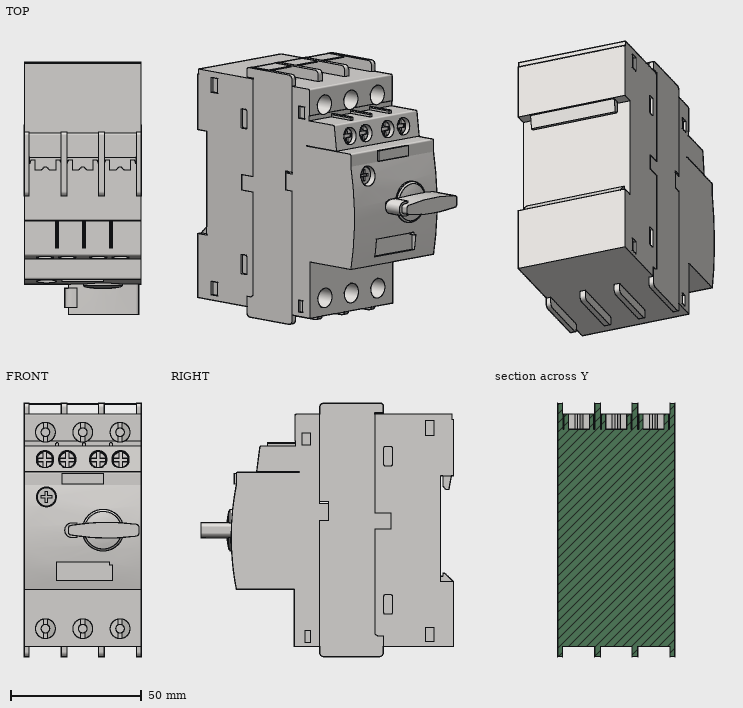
import cadquery as cq
import math


TOTAL_WIDTH = 45.0
TOTAL_DEPTH = 96.9
TOTAL_HEIGHT = 97.4

PLATE_PROUD = 0.1
BODY_WIDTH = TOTAL_WIDTH - 2 * PLATE_PROUD
BODY_BOTTOM = 3.9
BODY_TOP = 93.2
REAR_STEP_DEPTH = 0.5
REAR_STEP_HEIGHT = 2.0
UPPER_FRONT = -60.9
LOWER_FRONT = -61.2
TIER_TOP = 80.9
TIER_FRONT = -74.3
TIER_FOOT = -75.6
COVER_TOP = 70.9
COVER_BOTTOM = 25.9
COVER_FRONT = -83.4
COVER_CROWN = -85.3
COVER_FLAT_BOTTOM = 65.9
EDGE_RADIUS = 0.7
PARTING_REAR = -59.2
PARTING_HEIGHT = 0.15
WALL_STEP_TOP = 82.9
WALL_STEP_DEPTH = 0.2

RAIL_DEPTH = 5.0
RAIL_TOP = 69.4
RAIL_BOTTOM = 28.9
HOOK_FRONT = -4.1
UPPER_HOOK_REAR = -0.8
UPPER_HOOK_TIP_REAR = -1.8
UPPER_HOOK_TIP_FRONT = -2.9
UPPER_HOOK_TIP = 64.2
UPPER_HOOK_CHAMFER_TOP = 65.5
LOWER_HOOK_TIP_REAR = -3.4
LOWER_HOOK_TIP = 32.1
LOWER_HOOK_STEP = 31.0
UPPER_HOOK_INSET = 4.9
LOWER_HOOK_INSET = 1.9

POLE_PITCH = 14.3
BARRIER_REAR = -26.9
BARRIER_NECK = -30.2
BARRIER_FRONT = -51.4
LIP_BOTTOM = 93.6
TAB_REAR = -24.1
TAB_TOP = 55.1
TAB_BOTTOM = 49.1
FOOT_TOP = 8.0
FOOT_CHAMFER_TOP = 8.8
FOOT_CHAMFER_REAR = -28.9
NOTCH_BOTTOM = 52.3
REAR_TOP_RADIUS = 1.2
BARRIER_RADIUS = 1.8
SIDE_FIN = 1.9
MIDDLE_FIN = 2.2
BRIDGE_FRONT = -36.5
BRIDGE_THICKNESS = 0.4
BRIDGE_SINK = 0.1
SLIT_REAR = -48.0
SLIT_BOTTOM = 58.9
SLIT_TOP = 59.6

TERMINAL_HEIGHTS = (10.8, 86.2)
TERMINAL_RADIUS = 3.8
TERMINAL_DEPTH = 7.8
TERMINAL_HEAD = 1.5
TERMINAL_RIDGE = 1.7
TERMINAL_PIN_RADIUS = 1.7
TERMINAL_PIN_RISE = 0.3

ENTRY_DEPTH = 5.8
ENTRY_WIDTH = 8.0
ENTRY_FRONT = -41.4
ENTRY_SHOULDER = -37.5
ENTRY_CORNER = -39.0
ENTRY_SHOULDER_WIDTH = 11.0
ENTRY_LIP = 1.0
ENTRY_UNDERCUT = 0.5
NOSE_TIP = -40.2
NOSE_TIP_WIDTH = 1.0
NOSE_BASE_WIDTH = 3.1

AUX_SCREW_X = (-14.5, -5.9, 5.9, 14.5)
AUX_SCREW_Z = 75.9
AUX_RADIUS = 3.3
AUX_CROSS = (5.5, 6.2, 1.4)
RIB_CENTRE = 0.5
RIB_PITCH = 10.3
RIB_WIDTH = 1.2
RIB_HEIGHT = 1.3
RIB_CHAMFER = 0.4
RIB_FRONT = -71.4
SCREW_SINK = 1.9
CROSS_DEPTH = 0.8
HEAD_GAP = 0.3

DIAL_X = -13.9
DIAL_Y = -84.0
DIAL_Z = 61.4
DIAL_RADIUS = 3.8
DIAL_CROSS = (4.1, 4.3, 1.0)
NAME_WIDTH = 15.9
NAME_BOTTOM = 66.3
NAME_TOP = 70.4
NAME_RISE = 0.8
WINDOW_LEFT = -10.0
WINDOW_RIGHT = 11.4
WINDOW_BOTTOM = 29.3
WINDOW_TOP = 36.3
WINDOW_NOTCH = 1.1
WINDOW_FLOOR = -82.8

KNOB_X = 7.8
KNOB_Z = 48.6
KNOB_RADIUS = 8.0
KNOB_RIM_RADIUS = 7.2
KNOB_RIM_Y = -86.3
KNOB_CHAMFER_Y = -85.7
KNOB_CROWN_Y = -87.1
HANDLE_LEFT = -5.6
HANDLE_RIGHT = 21.5
HANDLE_HALF = 3.0
HANDLE_LEFT_HALF = 1.7
HANDLE_RIGHT_HALF = 2.1
HANDLE_CORNER = 1.2
SLEEVE_X = -4.1
SLEEVE_RADIUS = 2.8
SLEEVE_END = -2.1
SLEEVE_REAR = -86.7
SLEEVE_FRONT = -94.2

SIDE_RECESS_DEPTH = 1.0
SIDE_RECESSES = (
    (-10.7, 85.0, 3.3, 5.7, 0),
    (-10.7, 5.9, 3.3, 5.3, 0),
    (-26.8, 73.2, 3.3, 7.5, 0.6),
    (-26.8, 16.4, 3.3, 7.5, 0.6),
    (-58.1, 81.2, 3.3, 4.7, 0),
    (-57.1, 5.6, 2.2, 4.6, 0),
)


def across(sketch, width):
    """Extrude a YZ outline symmetrically about the middle plane."""
    return sketch.extrude(width / 2, both=True)


def side_outline(points):
    return cq.Workplane("YZ").polyline(points).close()


def facing_front(y):
    """Plane parallel to XZ at the given Y; its normal points forward, towards -Y."""
    return cq.Workplane("XZ", origin=(0, y, 0))


def box_between(x0, x1, y0, y1, z0, z1):
    return cq.Workplane("XY").box(x1 - x0, y1 - y0, z1 - z0, centered=False).translate((x0, y0, z0))


def corner_at(y, z):
    """Selects the edge along X, centred on X = 0, that passes through the given Y and Z."""
    reach = 0.1
    return cq.selectors.BoxSelector((-reach, y - reach, z - reach), (reach, y + reach, z + reach))


def make_body():
    outline = (
        cq.Workplane("YZ")
        .moveTo(0, BODY_BOTTOM)
        .lineTo(0, RAIL_BOTTOM)
        .lineTo(-RAIL_DEPTH, RAIL_BOTTOM)
        .lineTo(-RAIL_DEPTH, RAIL_TOP)
        .lineTo(0, RAIL_TOP)
        .lineTo(0, BODY_TOP - REAR_STEP_HEIGHT)
        .lineTo(-REAR_STEP_DEPTH, BODY_TOP - REAR_STEP_HEIGHT)
        .lineTo(-REAR_STEP_DEPTH, BODY_TOP)
        .lineTo(UPPER_FRONT, BODY_TOP)
        .lineTo(UPPER_FRONT, WALL_STEP_TOP)
        .lineTo(UPPER_FRONT + WALL_STEP_DEPTH, WALL_STEP_TOP)
        .lineTo(UPPER_FRONT + WALL_STEP_DEPTH, TIER_TOP)
        .lineTo(TIER_FRONT, TIER_TOP)
        .lineTo(TIER_FOOT, COVER_TOP + PARTING_HEIGHT)
        .lineTo(PARTING_REAR, COVER_TOP + PARTING_HEIGHT)
        .lineTo(PARTING_REAR, COVER_TOP)
        .lineTo(COVER_FRONT, COVER_TOP)
        .lineTo(COVER_FRONT, COVER_FLAT_BOTTOM)
        .threePointArc(
            (COVER_CROWN, (COVER_FLAT_BOTTOM + COVER_BOTTOM) / 2), (COVER_FRONT, COVER_BOTTOM)
        )
        .lineTo(LOWER_FRONT, COVER_BOTTOM)
        .lineTo(LOWER_FRONT, BODY_BOTTOM)
        .close()
    )
    body = across(outline, BODY_WIDTH)
    for y, z in ((UPPER_FRONT, BODY_TOP), (TIER_FRONT, TIER_TOP), (COVER_FRONT, COVER_TOP)):
        body = body.edges(corner_at(y, z)).fillet(EDGE_RADIUS)
    return body


def make_hooks():
    upper_width = BODY_WIDTH - 2 * UPPER_HOOK_INSET
    lower_width = BODY_WIDTH - 2 * LOWER_HOOK_INSET
    upper = side_outline(
        [
            (UPPER_HOOK_REAR, RAIL_TOP),
            (UPPER_HOOK_TIP_REAR, UPPER_HOOK_TIP),
            (UPPER_HOOK_TIP_FRONT, UPPER_HOOK_TIP),
            (HOOK_FRONT, UPPER_HOOK_CHAMFER_TOP),
            (HOOK_FRONT, RAIL_TOP),
        ]
    )
    lower = side_outline(
        [
            (0, RAIL_BOTTOM),
            (LOWER_HOOK_TIP_REAR, LOWER_HOOK_TIP),
            (HOOK_FRONT, LOWER_HOOK_TIP),
            (HOOK_FRONT, LOWER_HOOK_STEP),
            (-RAIL_DEPTH, LOWER_HOOK_STEP),
            (-RAIL_DEPTH, RAIL_BOTTOM),
        ]
    )
    return across(upper, upper_width).union(across(lower, lower_width))


def barrier_sheet(thickness):
    """Full-height barrier profile, rounded at its four outer corners, centred on X = 0."""
    outline = side_outline(
        [
            (BARRIER_REAR, TOTAL_HEIGHT),
            (BARRIER_REAR, LIP_BOTTOM),
            (BARRIER_NECK, LIP_BOTTOM),
            (BARRIER_NECK, TAB_TOP),
            (TAB_REAR, TAB_TOP),
            (TAB_REAR, TAB_BOTTOM),
            (BARRIER_NECK, TAB_BOTTOM),
            (BARRIER_NECK, FOOT_CHAMFER_TOP),
            (FOOT_CHAMFER_REAR, FOOT_TOP),
            (BARRIER_REAR, FOOT_TOP),
            (BARRIER_REAR, 0),
            (BARRIER_FRONT, 0),
            (BARRIER_FRONT, NOTCH_BOTTOM),
            (SLIT_REAR, NOTCH_BOTTOM),
            (SLIT_REAR, SLIT_TOP),
            (BARRIER_FRONT, SLIT_TOP),
            (BARRIER_FRONT, TOTAL_HEIGHT),
        ]
    )
    sheet = across(outline, thickness)
    outer_corners = (
        (BARRIER_REAR, TOTAL_HEIGHT, REAR_TOP_RADIUS),
        (BARRIER_REAR, 0, BARRIER_RADIUS),
        (BARRIER_FRONT, 0, BARRIER_RADIUS),
        (BARRIER_FRONT, TOTAL_HEIGHT, BARRIER_RADIUS),
    )
    for y, z, radius in outer_corners:
        sheet = sheet.edges(corner_at(y, z)).fillet(radius)
    return sheet


def make_barriers():
    side_x = (TOTAL_WIDTH - SIDE_FIN) / 2
    barriers = barrier_sheet(SIDE_FIN).translate((-side_x, 0, 0))
    barriers = barriers.union(barrier_sheet(SIDE_FIN).translate((side_x, 0, 0)))
    for x in (-POLE_PITCH / 2, POLE_PITCH / 2):
        barriers = barriers.union(barrier_sheet(MIDDLE_FIN).translate((x, 0, 0)))
    bridge = box_between(
        -TOTAL_WIDTH / 2,
        TOTAL_WIDTH / 2,
        BRIDGE_FRONT,
        BARRIER_REAR,
        TOTAL_HEIGHT - BRIDGE_THICKNESS,
        TOTAL_HEIGHT,
    )
    bridge = bridge.intersect(barrier_sheet(TOTAL_WIDTH)).translate((0, 0, -BRIDGE_SINK))
    return barriers.union(bridge)


def make_slit():
    return box_between(
        -TOTAL_WIDTH / 2, TOTAL_WIDTH / 2, BARRIER_FRONT, SLIT_REAR, SLIT_BOTTOM, SLIT_TOP
    )


def side_recess(y, z, width, height, corner):
    pocket = box_between(0, SIDE_RECESS_DEPTH, y, y + width, z, z + height)
    if corner:
        pocket = pocket.edges("|X").fillet(corner)
    right = pocket.translate((BODY_WIDTH / 2 - SIDE_RECESS_DEPTH, 0, 0))
    return right.union(pocket.translate((-BODY_WIDTH / 2, 0, 0)))


def wire_entry(x):
    """Stepped pocket in the top face with a small nose on its front edge and an undercut rear wall."""
    right_half = [
        (NOSE_TIP_WIDTH / 2, NOSE_TIP),
        (NOSE_BASE_WIDTH / 2, ENTRY_FRONT),
        (ENTRY_WIDTH / 2, ENTRY_FRONT),
        (ENTRY_WIDTH / 2, ENTRY_SHOULDER),
        (ENTRY_SHOULDER_WIDTH / 2, ENTRY_SHOULDER),
        ((POLE_PITCH - MIDDLE_FIN) / 2, ENTRY_CORNER),
        ((POLE_PITCH - MIDDLE_FIN) / 2, BRIDGE_FRONT),
    ]
    left_half = [(-px, py) for px, py in reversed(right_half)]
    floor_z = BODY_TOP - ENTRY_DEPTH
    entry = (
        cq.Workplane("XY", origin=(x, 0, floor_z))
        .polyline(right_half + left_half)
        .close()
        .extrude(ENTRY_DEPTH)
    )
    half = (POLE_PITCH - MIDDLE_FIN) / 2
    undercut = box_between(
        x - half, x + half, BRIDGE_FRONT, BRIDGE_FRONT + ENTRY_UNDERCUT, floor_z, BODY_TOP - ENTRY_LIP
    )
    return entry.union(undercut)


def terminal_cut(x, z, face_y):
    """Deep round hole that leaves a roof-shaped screw head with a central pin at its end."""
    floor_y = face_y + TERMINAL_DEPTH
    hole = facing_front(floor_y).center(x, z).circle(TERMINAL_RADIUS).extrude(TERMINAL_DEPTH)
    ridge_y = floor_y - TERMINAL_HEAD
    head = (
        cq.Workplane("XY", origin=(x, 0, z - TERMINAL_RADIUS))
        .moveTo(-TERMINAL_RADIUS, floor_y)
        .lineTo(-TERMINAL_RIDGE / 2, ridge_y)
        .lineTo(TERMINAL_RIDGE / 2, ridge_y)
        .lineTo(TERMINAL_RADIUS, floor_y)
        .close()
        .extrude(2 * TERMINAL_RADIUS)
    )
    pin_length = TERMINAL_HEAD + TERMINAL_PIN_RISE
    pin = facing_front(floor_y).center(x, z).circle(TERMINAL_PIN_RADIUS).extrude(pin_length)
    return hole.cut(head).cut(pin)


def cross_screw_cut(x, y, z, tilt, radius, cross):
    """Sunk head with cross slot and ring groove; the axis is tilted up from -Y by `tilt` degrees."""
    cross_width, cross_height, slot = cross
    sink = facing_front(SCREW_SINK).circle(radius).extrude(2 * SCREW_SINK)
    floor = facing_front(SCREW_SINK + CROSS_DEPTH)
    sink = sink.union(floor.circle(radius).circle(radius - HEAD_GAP).extrude(CROSS_DEPTH))
    sink = sink.union(floor.rect(cross_width, slot).extrude(CROSS_DEPTH))
    sink = sink.union(floor.rect(slot, cross_height).extrude(CROSS_DEPTH))
    return sink.rotate((0, 0, 0), (1, 0, 0), -tilt).translate((x, y, z))


def make_rib(x):
    """Rib along the top of the tier, with both top edges chamfered."""
    rear = UPPER_FRONT + WALL_STEP_DEPTH
    half = RIB_WIDTH / 2
    rib = box_between(x - half, x + half, RIB_FRONT, rear, TIER_TOP, TIER_TOP + RIB_HEIGHT)
    return rib.edges("|Y and >Z").chamfer(RIB_CHAMFER)


def make_name_plate():
    half = NAME_WIDTH / 2
    front = COVER_FRONT - NAME_RISE
    return box_between(-half, half, front, COVER_FRONT + EDGE_RADIUS, NAME_BOTTOM, NAME_TOP)


def make_window():
    return (
        facing_front(WINDOW_FLOOR)
        .polyline(
            [
                (WINDOW_LEFT, WINDOW_BOTTOM),
                (WINDOW_RIGHT, WINDOW_BOTTOM),
                (WINDOW_RIGHT, WINDOW_TOP - WINDOW_NOTCH),
                (WINDOW_RIGHT - WINDOW_NOTCH, WINDOW_TOP - WINDOW_NOTCH),
                (WINDOW_RIGHT - WINDOW_NOTCH, WINDOW_TOP),
                (WINDOW_LEFT, WINDOW_TOP),
            ]
        )
        .close()
        .extrude(WINDOW_FLOOR - COVER_CROWN)
    )


def make_knob():
    """Domed disc turned about the Y axis through the knob centre."""
    dome_mid = (KNOB_RIM_RADIUS * math.sqrt(0.5), (KNOB_CROWN_Y + KNOB_RIM_Y) / 2)
    return (
        cq.Workplane("XY")
        .moveTo(0, COVER_FRONT)
        .lineTo(KNOB_RADIUS, COVER_FRONT)
        .lineTo(KNOB_RADIUS, KNOB_CHAMFER_Y)
        .lineTo(KNOB_RIM_RADIUS, KNOB_RIM_Y)
        .threePointArc(dome_mid, (0, KNOB_CROWN_Y))
        .close()
        .revolve(360, (0, 0), (0, 1))
        .translate((KNOB_X, 0, KNOB_Z))
    )


def make_handle():
    """Lens-shaped grip with a sleeve around its left end."""
    middle = (HANDLE_LEFT + HANDLE_RIGHT) / 2
    grip = (
        facing_front(COVER_FRONT)
        .moveTo(HANDLE_LEFT, -HANDLE_LEFT_HALF)
        .threePointArc((middle, -HANDLE_HALF), (HANDLE_RIGHT, -HANDLE_RIGHT_HALF))
        .lineTo(HANDLE_RIGHT, HANDLE_RIGHT_HALF)
        .threePointArc((middle, HANDLE_HALF), (HANDLE_LEFT, HANDLE_LEFT_HALF))
        .close()
        .extrude(TOTAL_DEPTH + COVER_FRONT)
        .edges("|Y")
        .fillet(HANDLE_CORNER)
    )
    sleeve = (
        facing_front(SLEEVE_REAR)
        .moveTo(SLEEVE_END, SLEEVE_RADIUS)
        .lineTo(SLEEVE_X, SLEEVE_RADIUS)
        .threePointArc((SLEEVE_X - SLEEVE_RADIUS, 0), (SLEEVE_X, -SLEEVE_RADIUS))
        .lineTo(SLEEVE_END, -SLEEVE_RADIUS)
        .close()
        .extrude(SLEEVE_REAR - SLEEVE_FRONT)
    )
    return grip.union(sleeve).translate((0, 0, KNOB_Z))


result = make_body().union(make_hooks()).union(make_barriers()).cut(make_slit())
for recess in SIDE_RECESSES:
    result = result.cut(side_recess(*recess))

for pole in (-1, 0, 1):
    pole_x = pole * POLE_PITCH
    result = result.cut(wire_entry(pole_x))
    for terminal_z, face_y in zip(TERMINAL_HEIGHTS, (LOWER_FRONT, UPPER_FRONT)):
        result = result.cut(terminal_cut(pole_x, terminal_z, face_y))

tier_run = TIER_FRONT - TIER_FOOT
tier_drop = TIER_TOP - COVER_TOP
tier_tilt = math.degrees(math.atan2(tier_run, tier_drop))
aux_y = TIER_FOOT + tier_run * (AUX_SCREW_Z - COVER_TOP) / tier_drop
for screw_x in AUX_SCREW_X:
    result = result.cut(cross_screw_cut(screw_x, aux_y, AUX_SCREW_Z, tier_tilt, AUX_RADIUS, AUX_CROSS))
for rib in (-1, 0, 1):
    result = result.union(make_rib(RIB_CENTRE + rib * RIB_PITCH))

result = result.cut(cross_screw_cut(DIAL_X, DIAL_Y, DIAL_Z, 0, DIAL_RADIUS, DIAL_CROSS))
result = result.union(make_name_plate()).cut(make_window())
result = result.union(make_knob()).union(make_handle())